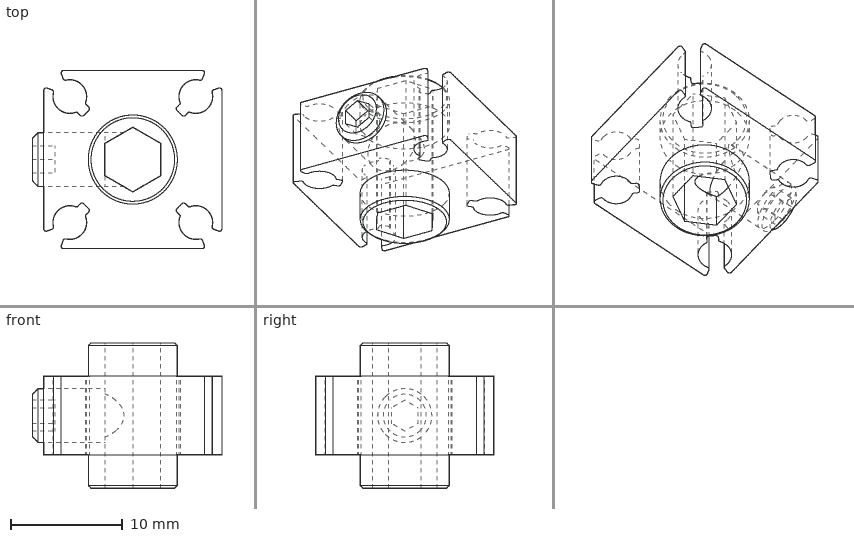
import cadquery as cq
import math

block_width = 16.0
block_height = 7.05
hub_diameter = 8.0
hub_projection = 3.0
hub_chamfer = 0.25
bore_flats = 5.0

pocket_offset = 5.65
pocket_radius = 1.5
mouth_half_width = 0.61
mouth_half_angle = 25.0
relief_width = 1.05
relief_reach = 2.07
relief_end_radius = 0.22
relief_entry_radius = 0.15
lip_radius = 0.23

screw_diameter = 4.85
screw_projection = 1.0
screw_chamfer = 0.5
socket_flats = 2.4
socket_depth = 2.0

hub_height = block_height + 2 * hub_projection
half_width = block_width / 2
screw_outer_x = -half_width - screw_projection
screw_tip_x = -bore_flats / 2
tolerance = 1e-3


def hexagon_corners(across_flats):
    """Diameter across the corners of a regular hexagon."""
    return across_flats / math.cos(math.pi / 6)


def make_corner_pocket():
    """Cutter for one pocket, with its hole at the origin and its mouth toward +X."""
    mouth_start = math.sqrt(pocket_radius**2 - mouth_half_width**2)
    mouth_end = pocket_radius + half_width
    flare = (mouth_end - mouth_start) * math.tan(math.radians(mouth_half_angle))
    mouth_outline = [
        (0, -mouth_half_width),
        (mouth_start, -mouth_half_width),
        (mouth_end, -mouth_half_width - flare),
        (mouth_end, mouth_half_width + flare),
        (mouth_start, mouth_half_width),
        (0, mouth_half_width),
    ]
    base = cq.Workplane("XY").workplane(offset=-block_height / 2)
    hole = base.circle(pocket_radius).extrude(block_height)
    mouth = base.polyline(mouth_outline).close().extrude(block_height)
    relief = (
        base.center(-relief_reach / 2, 0)
        .rect(relief_reach, relief_width)
        .extrude(block_height)
        .edges("|Z and <X")
        .fillet(relief_end_radius)
    )
    return hole.union(mouth).union(relief)


def corner_edges(block, wanted):
    """Vertical edges of the block whose middle satisfies wanted(x, y), folded into +X +Y."""
    edges = block.edges("|Z").vals()
    return block.newObject([e for e in edges if wanted(abs(e.Center().x), abs(e.Center().y))])


def on_outer_face(x, y):
    return max(x, y) > half_width - tolerance


def on_pocket_wall(x, y):
    return abs(math.hypot(x - pocket_offset, y - pocket_offset) - pocket_radius) < tolerance


def is_lip(x, y):
    return on_outer_face(x, y) or (on_pocket_wall(x, y) and x + y > 2 * pocket_offset)


def is_relief_entry(x, y):
    return on_pocket_wall(x, y) and x + y < 2 * pocket_offset - pocket_radius


def make_block():
    block = cq.Workplane("XY").box(block_width, block_width, block_height)
    pocket = make_corner_pocket().translate((pocket_offset * math.sqrt(2), 0, 0))
    for corner in range(4):
        block = block.cut(pocket.rotate((0, 0, 0), (0, 0, 1), 45 + 90 * corner))
    block = corner_edges(block, is_lip).fillet(lip_radius)
    return corner_edges(block, is_relief_entry).fillet(relief_entry_radius)


def make_housing():
    base = cq.Workplane("XY").workplane(offset=-hub_height / 2)
    hub = base.circle(hub_diameter / 2).extrude(hub_height).faces("<Z or >Z").chamfer(hub_chamfer)
    bore = (
        base.polygon(6, hexagon_corners(bore_flats))
        .extrude(hub_height)
        .rotate((0, 0, 0), (0, 0, 1), 30)
    )
    screw_hole = (
        cq.Workplane("YZ")
        .workplane(offset=-half_width)
        .circle(screw_diameter / 2)
        .extrude(half_width)
    )
    return make_block().union(hub).cut(bore).cut(screw_hole)


def make_set_screw():
    outer_end = cq.Workplane("YZ").workplane(offset=screw_outer_x)
    screw = (
        outer_end.circle(screw_diameter / 2)
        .extrude(screw_tip_x - screw_outer_x)
        .faces("<X")
        .chamfer(screw_chamfer)
    )
    socket = (
        outer_end.polygon(6, hexagon_corners(socket_flats))
        .extrude(socket_depth)
        .rotate((0, 0, 0), (1, 0, 0), 30)
    )
    return screw.cut(socket)


housing = make_housing()
set_screw = make_set_screw()

result = cq.Compound.makeCompound([housing.val(), set_screw.val()])